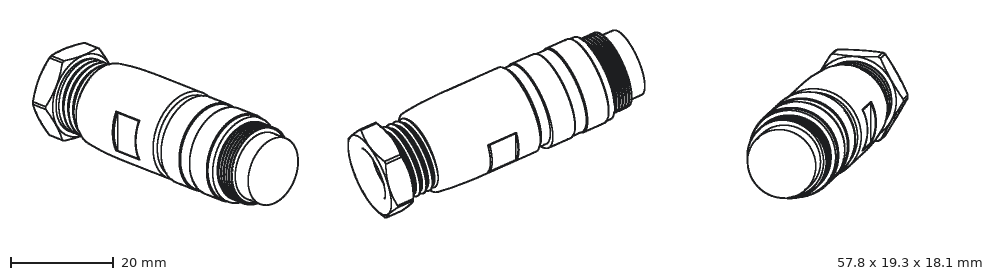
import cadquery as cq
import math

total_length = 57.8
nose_diameter = 13.8

nut_across_flats = 17.0
nut_across_corners = 19.3
nut_face_diameter = 16.9
nut_length = 4.95
nut_chamfer_angle = 30.0
bore_diameter = 10.5
bore_depth = 3.45
bore_lip_radius = 1.1

gland_crest_diameter = 15.0
gland_root_diameter = 13.8
gland_pitch = 1.4
gland_crest_width = 0.2
gland_root_width = 0.3
gland_groove_start = 5.5
gland_groove_turns = 4.5
gland_start_angle = 45.0

shell_start = 11.1
shell_end = 33.8
shell_diameter = 18.05
shell_small_diameter = 16.9
shell_edge_radius = 0.5
shell_taper_end = 20.2
shell_end_chamfer = (shell_diameter - shell_small_diameter) / 2

flats_distance = 16.0
flats_start = 22.4
flats_end = 28.25
relief_start = 22.0
relief_end = 28.45
relief_depth = 0.05

sleeve_shift = -0.435
sleeve_start = 35.85
sleeve_end = 49.9
sleeve_diameter = 18.0
sleeve_groove_diameter = 17.6
sleeve_groove_start = 40.8
sleeve_groove_end = 43.7
sleeve_land_end = 48.4

mating_crest_diameter = 15.95
mating_root_diameter = 15.0
mating_start = 50.3
mating_end = 54.2
mating_turns = 5.5
mating_pitch = (mating_end - mating_start) / mating_turns
mating_flat_width = 0.2
mating_groove_start = 49.8
mating_groove_turns = 6.7
mating_start_angle = 10.0


def cylinder(start, end, diameter):
    """Cylinder on the X axis between two stations."""
    return cq.Workplane("YZ").workplane(offset=start).circle(diameter / 2).extrude(end - start)


def revolve_about_x(profile):
    """Solid of revolution from an open profile that starts and ends on the X axis."""
    return profile.close().revolve(360, (0, 0, 0), (1, 0, 0))


def helical_groove(start, turns, pitch, crest_diameter, root_diameter, crest_width, root_width, angle):
    """Right-handed groove around X; it starts at -Z, turned about X by `angle`."""
    root_radius = root_diameter / 2
    overshoot = 0.05
    depth = (crest_diameter - root_diameter) / 2
    flank_run = (pitch - crest_width - root_width) / 2
    inner = root_width / 2
    outer = inner + flank_run * (depth + overshoot) / depth
    helix = cq.Wire.makeHelix(pitch, turns * pitch, root_radius)
    groove = (
        cq.Workplane("XZ")
        .moveTo(root_radius, -inner)
        .lineTo(root_radius + depth + overshoot, -outer)
        .lineTo(root_radius + depth + overshoot, outer)
        .lineTo(root_radius, inner)
        .close()
        .sweep(cq.Workplane(helix), isFrenet=True)
    )
    along_x = groove.rotate((0, 0, 0), (0, 1, 0), 90)
    return along_x.rotate((0, 0, 0), (1, 0, 0), angle).translate((start, 0, 0))


def gland_nut():
    """Hexagon with chamfered corners on both faces, corners on Y, and a blind round-lipped bore."""
    corner_radius = nut_across_corners / 2
    face_radius = nut_face_diameter / 2
    chamfer = (corner_radius - face_radius) * math.tan(math.radians(nut_chamfer_angle))
    envelope = revolve_about_x(
        cq.Workplane("XY")
        .lineTo(0, face_radius)
        .lineTo(chamfer, corner_radius)
        .lineTo(nut_length - chamfer, corner_radius)
        .lineTo(nut_length, face_radius)
        .lineTo(nut_length, 0)
    )
    hexagon = cq.Workplane("YZ").polygon(6, nut_across_flats, circumscribed=True).extrude(nut_length)
    hexagon = hexagon.rotate((0, 0, 0), (1, 0, 0), 30)
    nut = hexagon.intersect(envelope).cut(cylinder(0, bore_depth, bore_diameter))
    return nut.edges(cq.selectors.RadiusNthSelector(0)).edges("<X").fillet(bore_lip_radius)


def gland_thread():
    """Threaded rod that joins the nut to the backshell."""
    rod = cylinder(nut_length, shell_taper_end, gland_crest_diameter)
    groove = helical_groove(
        gland_groove_start,
        gland_groove_turns,
        gland_pitch,
        gland_crest_diameter,
        gland_root_diameter,
        gland_crest_width,
        gland_root_width,
        gland_start_angle,
    )
    return rod.cut(groove)


def backshell():
    """Barrel with a rounded front edge, a bulged taper tangent to the barrel and a rear chamfer."""
    radius = shell_diameter / 2
    small_radius = shell_small_diameter / 2
    taper_start = shell_start + shell_edge_radius
    taper_length = shell_taper_end - taper_start
    taper_rise = radius - small_radius
    bulge_radius = (taper_length**2 + taper_rise**2) / (2 * taper_rise)
    middle_drop = bulge_radius - math.sqrt(bulge_radius**2 - (taper_length / 2) ** 2)
    edge_inset = shell_edge_radius * (1 - math.sqrt(0.5))
    barrel = revolve_about_x(
        cq.Workplane("XY")
        .moveTo(shell_start, 0)
        .lineTo(shell_start, small_radius - shell_edge_radius)
        .threePointArc((shell_start + edge_inset, small_radius - edge_inset), (taper_start, small_radius))
        .threePointArc((shell_taper_end - taper_length / 2, radius - middle_drop), (shell_taper_end, radius))
        .lineTo(shell_end - shell_end_chamfer, radius)
        .lineTo(shell_end, radius - shell_end_chamfer)
        .lineTo(shell_end, 0)
    )
    return barrel.cut(wrench_flat_cuts())


def wrench_flat_cuts():
    """Material removed on both Y sides for the flats and their end reliefs."""
    half_distance = flats_distance / 2
    relief_diameter = shell_diameter - 2 * relief_depth
    flat_height = 2 * math.sqrt((shell_diameter / 2) ** 2 - half_distance**2)
    flats_length = flats_end - flats_start
    relief_length = relief_end - relief_start
    slab = cq.Workplane("YZ").workplane(offset=flats_start).rect(flats_distance, shell_diameter)
    flats = cylinder(flats_start, flats_end, shell_diameter + 0.6).cut(slab.extrude(flats_length))
    band = cq.Workplane("YZ").workplane(offset=relief_start).rect(2 * shell_diameter, flat_height)
    relief = band.extrude(relief_length).cut(cylinder(relief_start, relief_end, relief_diameter))
    return flats.union(relief)


def coupling_sleeve():
    """Sleeve with a shallow groove and a stepped rear end, both with 45 degree shoulders."""
    land_radius = sleeve_diameter / 2
    groove_radius = sleeve_groove_diameter / 2
    shoulder = land_radius - groove_radius
    return revolve_about_x(
        cq.Workplane("XY")
        .moveTo(sleeve_start, 0)
        .lineTo(sleeve_start, land_radius)
        .lineTo(sleeve_groove_start, land_radius)
        .lineTo(sleeve_groove_start + shoulder, groove_radius)
        .lineTo(sleeve_groove_end - shoulder, groove_radius)
        .lineTo(sleeve_groove_end, land_radius)
        .lineTo(sleeve_land_end, land_radius)
        .lineTo(sleeve_land_end + shoulder, groove_radius)
        .lineTo(sleeve_end, groove_radius)
        .lineTo(sleeve_end, 0)
    )


def mating_thread():
    """Fine thread between the sleeve undercut and the nose."""
    groove = helical_groove(
        mating_groove_start,
        mating_groove_turns,
        mating_pitch,
        mating_crest_diameter,
        mating_root_diameter,
        mating_flat_width,
        mating_flat_width,
        mating_start_angle,
    )
    return cylinder(mating_start, mating_end, mating_crest_diameter).cut(groove)


neck = cylinder(shell_end, sleeve_start, shell_small_diameter)
nose = cylinder(sleeve_end, total_length, nose_diameter)
undercut = cylinder(sleeve_end, mating_start, mating_root_diameter)
mating_end_parts = coupling_sleeve().union(undercut).union(mating_thread()).union(nose)

result = (
    gland_nut()
    .union(gland_thread())
    .union(backshell())
    .union(neck)
    .union(mating_end_parts.translate((0, sleeve_shift, 0)))
)